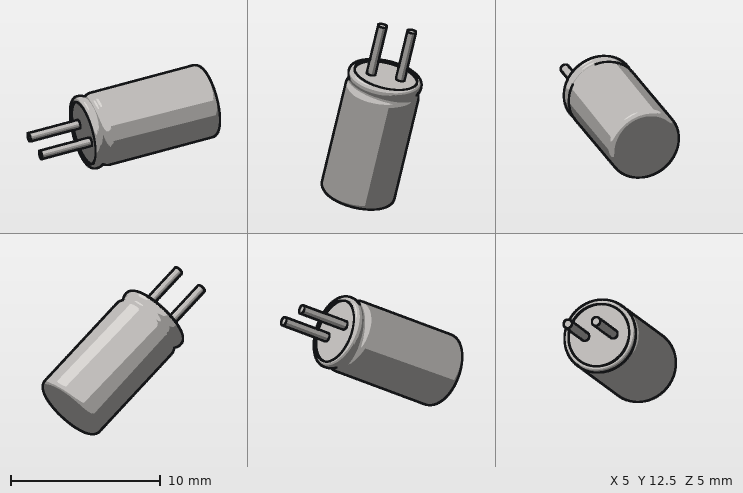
import cadquery as cq
import math

can_diameter = 5.0
can_length = 9.0
closed_end_radius = 0.35
seal_end_radius = 0.25

groove_center = 0.78
groove_half_width = 0.445
groove_valley_half = 0.19
groove_depth = 0.14

seal_diameter = 4.29
seal_recess = 0.1

lead_diameter = 0.6
lead_pitch = 2.0
lead_length = 3.5

can_radius = can_diameter / 2

flank_angle = 2 * math.atan(groove_depth / groove_half_width)
valley_radius = groove_valley_half / math.sin(flank_angle)
shoulder_radius = (groove_half_width - groove_valley_half) / math.sin(flank_angle)


def make_can():
    """Can with rounded ends and crimp groove, revolved about Y."""
    shoulder_drop = shoulder_radius * (1 - math.cos(flank_angle))
    shoulder_mid_drop = shoulder_radius * (1 - math.cos(flank_angle / 2))
    shoulder_mid = groove_half_width - shoulder_radius * math.sin(flank_angle / 2)

    flank_x = can_radius - shoulder_drop
    shoulder_mid_x = can_radius - shoulder_mid_drop
    valley_x = can_radius - groove_depth
    corner_inset = 1 - math.sqrt(0.5)
    seal_inset = seal_end_radius * corner_inset
    closed_inset = closed_end_radius * corner_inset

    profile = (
        cq.Workplane("XY")
        .moveTo(0, 0)
        .lineTo(can_radius - seal_end_radius, 0)
        .threePointArc((can_radius - seal_inset, seal_inset), (can_radius, seal_end_radius))
        .lineTo(can_radius, groove_center - groove_half_width)
        .threePointArc(
            (shoulder_mid_x, groove_center - shoulder_mid),
            (flank_x, groove_center - groove_valley_half),
        )
        .threePointArc((valley_x, groove_center), (flank_x, groove_center + groove_valley_half))
        .threePointArc(
            (shoulder_mid_x, groove_center + shoulder_mid),
            (can_radius, groove_center + groove_half_width),
        )
        .lineTo(can_radius, can_length - closed_end_radius)
        .threePointArc(
            (can_radius - closed_inset, can_length - closed_inset),
            (can_radius - closed_end_radius, can_length),
        )
        .lineTo(0, can_length)
        .close()
    )
    return profile.revolve(360, (0, 0, 0), (0, 1, 0))


def make_seal_recess():
    """Shallow round pocket that leaves the seal below the crimped rim."""
    return cq.Workplane("XZ").circle(seal_diameter / 2).extrude(-seal_recess)


def make_leads():
    """Two straight round leads from the seal face toward -Y."""
    return (
        cq.Workplane("XZ", origin=(0, seal_recess, 0))
        .pushPoints([(-lead_pitch / 2, 0), (lead_pitch / 2, 0)])
        .circle(lead_diameter / 2)
        .extrude(lead_length + seal_recess)
    )


result = make_can().cut(make_seal_recess()).union(make_leads())